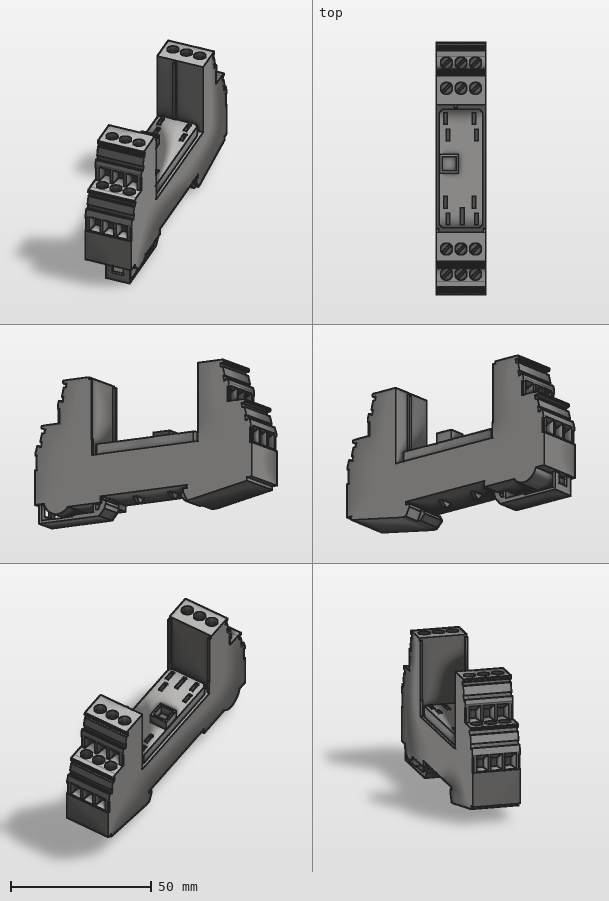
import cadquery as cq


WIDTH = 17.7
LENGTH = 90.0
HALF_WIDTH = WIDTH / 2
HALF_LENGTH = LENGTH / 2
TOP_Z = 44.1
FLOOR_Z = 15.5
TOWER_DEPTH = 22.3
SHELF_Z = 12.6
HIP_Z = 19.1
SHOULDER_Z = 35.5

TIER_STEP_OUT = 9.0
TIER_DROP = 15.5
UPPER_FACE_DEPTH = 9.5
LOWER_FACE_DEPTH = 0.3
LOWER_TOP_Z = TOP_Z - TIER_DROP
POLE_PITCH = 5.175
POLES = 3

SCREW_DIAMETER = 4.2
SCREW_WELL_DEPTH = 5.4
SCREW_DEPTH_FROM_END = 16.4
SCREW_SLOT_WIDTH = 0.8
SCREW_SLOT_DEPTH = 0.7
SCREW_SLOT_ANGLE = 45

ENTRY_WIDTH = 4.2
ENTRY_HEIGHT = 5.85
ENTRY_BACK_WIDTH = 2.5
ENTRY_BACK_HEIGHT = 3.1
ENTRY_BACK_SILL = 0.45
ENTRY_DEPTH = 3.6
UPPER_ENTRY_Z = LOWER_TOP_Z
LOWER_ENTRY_Z = SHELF_Z + 0.4
UPPER_CHEEK = (0.4, 0.5, 5.3)
LOWER_CHEEK = (0.5, 0.5, 5.4)

RIB_TOP_Z = 43.3
RIB_DEPTH = 1.1
RIB_TIP_TAPER = 0.2
RIB_TAPER_HEIGHT = 1.35
CENTRE_RIB_X = -1.9
CENTRE_RIB_WIDTH = 1.0
SIDE_RIB_WIDTH = 0.9
SIDE_RIB_FOOT_EXTRA = 0.3
SIDE_RIB_FOOT_Z = 21.3

PLATE_WIDTH = 15.4
PLATE_LENGTH = 42.1
PLATE_HEIGHT = 4.05
PLATE_CHAMFER = 1.1
PLATE_TOP_Z = FLOOR_Z + PLATE_HEIGHT
SLOT_WIDTH = 1.3
SLOT_LENGTH = 4.1
SLOT_DEPTH = 3.6
SLOT_ROW_PITCH = 10.3
SLOT_STAGGER = 0.45
SLOT_OUTER_Y = 17.9
SLOT_INNER_Y = 12.0
COIL_SLOT_LENGTH = 6.1
COIL_SLOT_X = 0.45
COIL_SLOT_Y = -16.9
KEY_SIZE = 6.7
KEY_BORE = 5.0
KEY_HEIGHT = 3.8
KEY_X = -4.2
KEY_Y = 1.7

FOOT_START = 2.0
FOOT_STEP = 1.35
FOOT_LOW_DEPTH = 25.2
FOOT_BOTTOM = 5.5
FOOT_INNER_DEPTH = 26.9
HOOK_LEFT = -2.2
CLIP_LEFT = -1.3
CLIP_RIGHT = 7.8
CLIP_BOTTOM = 6.8
CLIP_FLOOR = 5.8
CLIP_SHELF = 5.2
CLIP_END_DEPTH = 1.1
BAR = 1.1
WINDOW_WIDTH = 4.3
WINDOW_HEIGHT = 3.9
CLIP_POST_DEPTH = 24.75
PAD_INNER_DEPTH = 27.2
PAD_HEIGHT = 2.25
BULGE_INNER_DEPTH = 13.8
BULGE_CENTRE_DEPTH = 9.2
BULGE_BOTTOM = 4.4
BULGE_OUTER_DEPTH = 3.8
PIN_WIDTH = 1.3
PIN_ROOT = 5.4
PIN_TIP = 1.3
PIN_LENGTH = 2.1
PIN_Y = 7.2

UPPER_LIP = [
    (12.0, TOP_Z), (11.7, 43.8), (11.7, 43.2), (12.0, 42.8),
    (13.05, 42.8), (12.9, 41.5), (12.0, 41.5),
]
LOWER_LIP = [
    (4.95, LOWER_TOP_Z), (3.0, 28.5), (2.7, 28.2), (2.7, 27.6), (3.2, 27.4),
    (4.3, 27.2), (3.9, 25.7), (3.0, 25.7),
]

LATCH_GROOVE = [
    (11.2, 38.2), (11.8, 38.2), (11.5, 36.3), (11.0, 36.4), (10.4, 36.9), (10.0, 36.9),
]


def end_y(side, depth):
    """Y at a depth inwards from the +Y end (side 1) or the -Y end (side -1)."""
    return side * (HALF_LENGTH - depth)


def block(x0, x1, y0, y1, z0, z1):
    size = (abs(x1 - x0), abs(y1 - y0), abs(z1 - z0))
    centre = ((x0 + x1) / 2, (y0 + y1) / 2, (z0 + z1) / 2)
    return cq.Workplane("XY").box(*size).translate(centre)


def extrude_profile(side, points, x0, x1):
    """Extrude an outline of (depth, z) points from x0 to x1."""
    outline = [(end_y(side, depth), z) for depth, z in points]
    return cq.Workplane("YZ", origin=(x0, 0, 0)).polyline(outline).close().extrude(x1 - x0)


def pole_positions():
    return [(i - (POLES - 1) / 2) * POLE_PITCH for i in range(POLES)]


def tower(side):
    lower_groove = [(depth - TIER_STEP_OUT, z - TIER_DROP) for depth, z in LATCH_GROOVE]
    points = (
        [(TOWER_DEPTH, 0), (TOWER_DEPTH, TOP_Z)]
        + UPPER_LIP
        + LATCH_GROOVE
        + [(UPPER_FACE_DEPTH, SHOULDER_Z), (UPPER_FACE_DEPTH, LOWER_TOP_Z)]
        + LOWER_LIP
        + lower_groove
        + [(LOWER_FACE_DEPTH, HIP_Z), (LOWER_FACE_DEPTH, SHELF_Z), (0, SHELF_Z), (0, 0)]
    )
    return extrude_profile(side, points, -HALF_WIDTH, HALF_WIDTH)


def screw_well(x, y, top_z):
    """A round well with a screwdriver slot across its bottom."""
    bottom_z = top_z - SCREW_WELL_DEPTH
    bottom = cq.Workplane("XY", origin=(x, y, bottom_z))
    well = bottom.circle(SCREW_DIAMETER / 2).extrude(SCREW_WELL_DEPTH)
    slot = (
        bottom.transformed(rotate=(0, 0, SCREW_SLOT_ANGLE))
        .rect(2 * SCREW_DIAMETER, SCREW_SLOT_WIDTH)
        .extrude(-SCREW_SLOT_DEPTH)
    )
    slot_limit = bottom.circle(SCREW_DIAMETER / 2).extrude(-SCREW_SLOT_DEPTH)
    return well.union(slot.intersect(slot_limit))


def wire_entry(side, x, face_depth, sill_z):
    """A funnel narrowing inwards from the tier's front face to a small rectangular back."""
    mouth_z = sill_z + ENTRY_HEIGHT / 2
    back_z = sill_z + ENTRY_BACK_SILL + ENTRY_BACK_HEIGHT / 2
    plane = cq.Plane(origin=(x, end_y(side, face_depth), mouth_z), xDir=(1, 0, 0), normal=(0, -side, 0))
    rise = (back_z - mouth_z) * plane.yDir.z
    return (
        cq.Workplane(plane)
        .rect(ENTRY_WIDTH, ENTRY_HEIGHT)
        .workplane(offset=ENTRY_DEPTH)
        .center(0, rise)
        .rect(ENTRY_BACK_WIDTH, ENTRY_BACK_HEIGHT)
        .loft(ruled=True)
    )


def cut_cheeks(body, side, face_depth, bottom_z, cheek):
    """Cut shallow steps at both side edges of a tier's front face."""
    width, depth, height = cheek
    for x_side in (-1, 1):
        body = body.cut(block(
            x_side * (HALF_WIDTH - width), x_side * HALF_WIDTH,
            end_y(side, face_depth), end_y(side, face_depth + depth),
            bottom_z, bottom_z + height,
        ))
    return body


def cut_terminals(body, side):
    for x in pole_positions():
        upper_y = end_y(side, SCREW_DEPTH_FROM_END)
        lower_y = end_y(side, SCREW_DEPTH_FROM_END - TIER_STEP_OUT)
        body = body.cut(screw_well(x, upper_y, TOP_Z))
        body = body.cut(screw_well(x, lower_y, LOWER_TOP_Z))
        body = body.cut(wire_entry(side, x, UPPER_FACE_DEPTH, UPPER_ENTRY_Z))
        body = body.cut(wire_entry(side, x, LOWER_FACE_DEPTH, LOWER_ENTRY_Z))
    body = cut_cheeks(body, side, UPPER_FACE_DEPTH, LOWER_TOP_Z, UPPER_CHEEK)
    return cut_cheeks(body, side, LOWER_FACE_DEPTH, SHELF_Z, LOWER_CHEEK)


def centre_rib():
    tip = TOWER_DEPTH + RIB_DEPTH
    points = [
        (TOWER_DEPTH, FLOOR_Z), (tip, FLOOR_Z), (tip, RIB_TOP_Z - RIB_TAPER_HEIGHT),
        (tip - RIB_TIP_TAPER, RIB_TOP_Z), (TOWER_DEPTH, RIB_TOP_Z),
    ]
    left = CENTRE_RIB_X - CENTRE_RIB_WIDTH / 2
    return extrude_profile(1, points, left, left + CENTRE_RIB_WIDTH)


def side_rib(left):
    tip = TOWER_DEPTH + RIB_DEPTH
    foot = tip + SIDE_RIB_FOOT_EXTRA
    points = [
        (TOWER_DEPTH, FLOOR_Z), (foot, FLOOR_Z), (foot, SIDE_RIB_FOOT_Z),
        (tip, SIDE_RIB_FOOT_Z), (tip, RIB_TOP_Z), (TOWER_DEPTH, RIB_TOP_Z),
    ]
    return extrude_profile(-1, points, left, left + SIDE_RIB_WIDTH)


def socket_plate():
    plate = (
        cq.Workplane("XY", origin=(0, 0, FLOOR_Z))
        .rect(PLATE_WIDTH, PLATE_LENGTH)
        .extrude(PLATE_HEIGHT)
        .edges("|Z")
        .chamfer(PLATE_CHAMFER)
    )
    key = (
        cq.Workplane("XY", origin=(KEY_X, KEY_Y, PLATE_TOP_Z))
        .rect(KEY_SIZE, KEY_SIZE)
        .rect(KEY_BORE, KEY_BORE)
        .extrude(KEY_HEIGHT)
    )
    return plate.union(key)


def contact_slots():
    places = []
    for x in (-SLOT_ROW_PITCH / 2, SLOT_ROW_PITCH / 2):
        places += [(x - SLOT_STAGGER, SLOT_OUTER_Y), (x - SLOT_STAGGER, -SLOT_INNER_Y)]
        places += [(x + SLOT_STAGGER, SLOT_INNER_Y), (x + SLOT_STAGGER, -SLOT_OUTER_Y)]
    top = cq.Workplane("XY", origin=(0, 0, PLATE_TOP_Z))
    slots = top.pushPoints(places).rect(SLOT_WIDTH, SLOT_LENGTH).extrude(-SLOT_DEPTH)
    coil_slot = (
        top.center(COIL_SLOT_X, COIL_SLOT_Y)
        .rect(SLOT_WIDTH, COIL_SLOT_LENGTH)
        .extrude(-SLOT_DEPTH)
    )
    return slots.union(coil_slot)


def rail_foot():
    """Sloping foot below the +Y tower, with a narrower hook at its inner end."""
    foot = [
        (FOOT_START, 0), (FOOT_START, -FOOT_STEP), (FOOT_LOW_DEPTH, -FOOT_BOTTOM),
        (FOOT_INNER_DEPTH, -FOOT_BOTTOM), (28.5, -2.25), (28.5, -1.1),
        (FOOT_INNER_DEPTH, -1.1), (FOOT_INNER_DEPTH, 0),
    ]
    hook = [
        (FOOT_INNER_DEPTH, -FOOT_BOTTOM), (28.2, -FOOT_BOTTOM), (30.2, -3.3),
        (29.4, -1.9), (28.35, -1.0), (FOOT_INNER_DEPTH, -1.1),
    ]
    full_width = extrude_profile(1, foot, -HALF_WIDTH, HALF_WIDTH)
    return full_width.union(extrude_profile(1, hook, HOOK_LEFT, CLIP_RIGHT))


def clip_pad():
    """Pad below the -Y tower, ending in a rounded bulge."""
    return (
        cq.Workplane("YZ", origin=(-HALF_WIDTH, 0, 0))
        .moveTo(end_y(-1, PAD_INNER_DEPTH), 0)
        .lineTo(end_y(-1, PAD_INNER_DEPTH), -PAD_HEIGHT)
        .lineTo(end_y(-1, BULGE_INNER_DEPTH), -PAD_HEIGHT)
        .threePointArc(
            (end_y(-1, BULGE_CENTRE_DEPTH), -BULGE_BOTTOM),
            (end_y(-1, BULGE_OUTER_DEPTH), 0),
        )
        .close()
        .extrude(WIDTH)
    )


def rail_clip():
    """Spring clip: a curved nose, an upright bar, a long floor and a windowed end wall."""
    nose = [
        (27.7, 0), (27.7, -1.1), (28.8, -1.35), (28.8, -2.7), (28.3, -4.3), (26.1, -CLIP_BOTTOM),
        (CLIP_POST_DEPTH, -CLIP_BOTTOM), (CLIP_POST_DEPTH, -4.3),
        (25.65, -4.3), (26.6, -PAD_HEIGHT), (26.6, 0),
    ]
    base = [
        (CLIP_POST_DEPTH, 0), (CLIP_POST_DEPTH, -CLIP_BOTTOM),
        (CLIP_END_DEPTH, -CLIP_BOTTOM), (CLIP_END_DEPTH, 0),
        (CLIP_END_DEPTH + BAR, 0), (CLIP_END_DEPTH + BAR, -CLIP_FLOOR),
        (14.85, -CLIP_FLOOR), (15.2, -CLIP_SHELF),
        (CLIP_POST_DEPTH - BAR, -CLIP_SHELF), (CLIP_POST_DEPTH - BAR, 0),
    ]
    clip = extrude_profile(-1, nose, CLIP_LEFT, CLIP_RIGHT)
    clip = clip.union(extrude_profile(-1, base, CLIP_LEFT, CLIP_RIGHT))
    middle_x = (CLIP_LEFT + CLIP_RIGHT) / 2
    window = block(
        middle_x - WINDOW_WIDTH / 2, middle_x + WINDOW_WIDTH / 2,
        end_y(-1, CLIP_END_DEPTH), end_y(-1, CLIP_END_DEPTH + BAR),
        -WINDOW_HEIGHT, 0,
    )
    return clip.cut(window)


def pin(y):
    """A flat pin whose two edges slope in towards the tip."""
    outline = [
        (-PIN_ROOT / 2, 0), (PIN_ROOT / 2, 0),
        (PIN_TIP / 2, -PIN_LENGTH), (-PIN_TIP / 2, -PIN_LENGTH),
    ]
    return (
        cq.Workplane("XZ", origin=(0, y, 0))
        .polyline(outline)
        .close()
        .extrude(PIN_WIDTH / 2, both=True)
    )


body = block(-HALF_WIDTH, HALF_WIDTH, -HALF_LENGTH, HALF_LENGTH, 0, SHELF_Z)
body = body.union(block(
    -HALF_WIDTH, HALF_WIDTH, end_y(-1, TOWER_DEPTH), end_y(1, TOWER_DEPTH), 0, FLOOR_Z,
))
for tower_side in (1, -1):
    body = body.union(tower(tower_side))
    body = cut_terminals(body, tower_side)

body = body.union(centre_rib())
body = body.union(side_rib(-HALF_WIDTH))
body = body.union(side_rib(HALF_WIDTH - SIDE_RIB_WIDTH))
body = body.union(socket_plate())
body = body.cut(contact_slots())
body = body.union(rail_foot())
body = body.union(clip_pad())
body = body.union(rail_clip())
for pin_y in (PIN_Y, -PIN_Y):
    body = body.union(pin(pin_y))

result = body